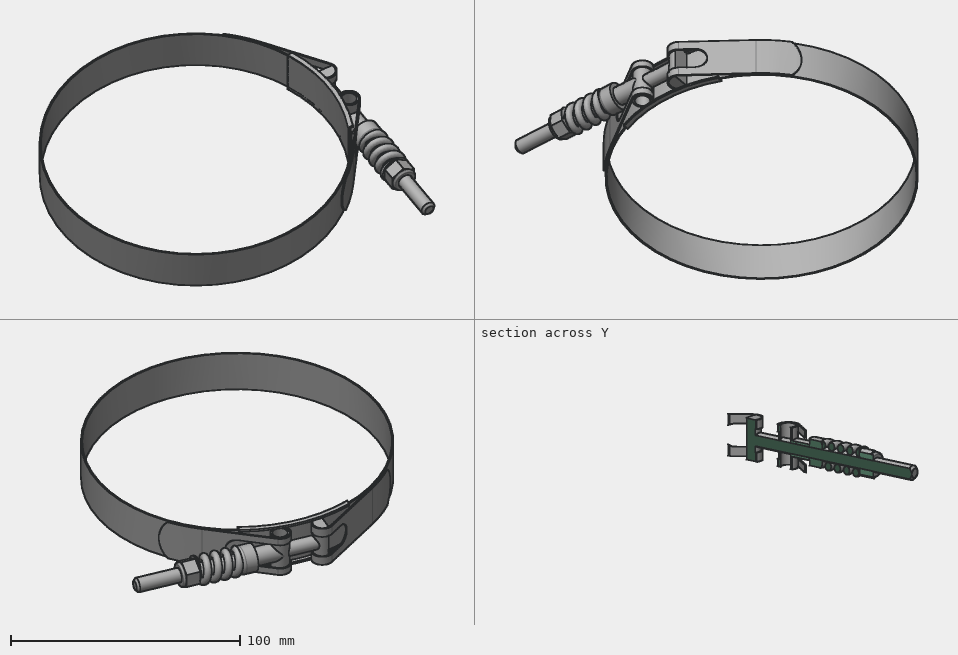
import cadquery as cq
import math

band_radius = 68.2
band_thickness = 0.66
band_width = 19.1
fold_gap = 0.1
fold_end_angle = 52.6
fold_tip_radius = 12.6

trunnion_radius = 4.3
trunnion_x = 10.0
trunnion_flat_offset = 1.3
trunnion_bore_radius = 3.4

head_slot_half_width = 5.3
head_slot_length = 12.6
sleeve_slot_half_width = 6.2
sleeve_slot_length = 23.5
loop_slot_drop = 3.7

bridge_inner_radius = 67.0
bridge_rim_radius = 69.4
bridge_width = 21.2
bridge_half_length = 26.0

bolt_diameter = 6.6
bolt_end_x = 78.8
bolt_chamfer = 1.2

cap_start_x = 23.0
cap_length = 7.0
cap_radius = 6.5
cap_fillet = 1.5

spring_length = 20.1
spring_outer_radius = 6.9
wire_radius = 1.8
spring_pitch = 5.0
spring_crest_x = 31.6

nut_hex_length = 6.5
nut_across_flats = 11.2
nut_collar_length = 1.3
nut_collar_fillet = 0.7

trunnion_distance = band_radius + trunnion_radius
axis_y = math.sqrt(trunnion_distance ** 2 - trunnion_x ** 2)
trunnion_angle = math.degrees(math.asin(trunnion_x / trunnion_distance))
fold_inner_radius = band_radius + fold_gap
strap_rise = fold_inner_radius - trunnion_radius
strap_angle = trunnion_angle + math.degrees(math.acos(strap_rise / trunnion_distance))
strap_length = math.sqrt(trunnion_distance ** 2 - strap_rise ** 2)
bolt_radius = bolt_diameter / 2
cap_end_x = cap_start_x + cap_length
spring_end_x = cap_end_x + spring_length


def polar(radius, angle, center=(0.0, 0.0)):
    """Point at an angle in degrees from +Y, turning toward +X."""
    turn = math.radians(angle)
    return (center[0] + radius * math.sin(turn), center[1] + radius * math.cos(turn))


def curved_strip(inner_radius, thickness, start, end, width, center=(0.0, 0.0)):
    """Strip bent about a Z axis between two angles, centred on Z = 0."""
    outer_radius = inner_radius + thickness
    middle = (start + end) / 2
    return (
        cq.Workplane("XY", origin=(0, 0, -width / 2))
        .moveTo(*polar(inner_radius, start, center))
        .threePointArc(polar(inner_radius, middle, center), polar(inner_radius, end, center))
        .lineTo(*polar(outer_radius, end, center))
        .threePointArc(polar(outer_radius, middle, center), polar(outer_radius, start, center))
        .close()
        .extrude(width)
    )


def bolt_axis_cylinder(radius, start_x, end_x):
    return cq.Workplane("YZ", origin=(start_x, axis_y, 0)).circle(radius).extrude(end_x - start_x)


def trunnion_cylinder(radius, side):
    base = (side * trunnion_x, axis_y, -band_width / 2)
    return cq.Workplane("XY", origin=base).circle(radius).extrude(band_width)


def folded_tip():
    """Folded-back end lying over the +X side of the ring, with a rounded tip."""
    fold = curved_strip(fold_inner_radius, band_thickness, strap_angle, fold_end_angle, band_width)
    tip = polar(fold_inner_radius, fold_end_angle)
    outward = polar(1, fold_end_angle)
    along = polar(1, fold_end_angle + 90)
    tip_plane = cq.Plane(origin=(*tip, 0), xDir=(*along, 0), normal=(*outward, 0))
    reach = 2 * fold_tip_radius
    keep = (
        cq.Workplane(tip_plane)
        .moveTo(-fold_tip_radius, fold_tip_radius)
        .threePointArc((0, 0), (-fold_tip_radius, -fold_tip_radius))
        .lineTo(-2 * reach, -fold_tip_radius)
        .lineTo(-2 * reach, fold_tip_radius)
        .close()
        .extrude(reach, both=True)
    )
    return fold.intersect(keep)


def band_loop(slot_length, slot_half_width):
    """Loop, straight strap and folded-back end on the +X side, slotted for the bolt."""
    center = (trunnion_x, axis_y)
    loop = curved_strip(
        trunnion_radius, band_thickness, trunnion_angle - 180, strap_angle, band_width, center
    )
    strap_start = polar(trunnion_radius, strap_angle, center)
    strap_plane = cq.Plane(
        origin=(*strap_start, 0),
        xDir=(*polar(1, strap_angle + 90), 0),
        normal=(*polar(1, strap_angle), 0),
    )
    strap = (
        cq.Workplane(strap_plane)
        .rect(strap_length, band_width)
        .extrude(band_thickness)
        .translate(strap_plane.xDir * (strap_length / 2))
    )
    slot_straight = slot_length - slot_half_width
    strap_slot = (
        cq.Workplane(strap_plane)
        .moveTo(0, -slot_half_width)
        .lineTo(slot_straight, -slot_half_width)
        .threePointArc((slot_length, 0), (slot_straight, slot_half_width))
        .lineTo(0, slot_half_width)
        .close()
        .extrude(2 * band_thickness, both=True)
    )
    loop_size = 2 * (trunnion_radius + band_thickness)
    loop_slot = (
        cq.Workplane("XY")
        .box(loop_size, loop_size, 2 * slot_half_width, centered=(True, False, True))
        .translate((trunnion_x, axis_y - loop_slot_drop, 0))
    )
    return loop.union(strap).union(folded_tip()).cut(strap_slot).cut(loop_slot)


def make_band():
    ring = curved_strip(
        band_radius - band_thickness, band_thickness, trunnion_angle, 360 - trunnion_angle, band_width
    )
    head_loop = band_loop(head_slot_length, head_slot_half_width).mirror("YZ")
    sleeve_loop = band_loop(sleeve_slot_length, sleeve_slot_half_width)
    return ring.union(head_loop).union(sleeve_loop)


def make_bridge():
    rim_height = bridge_rim_radius - bridge_inner_radius
    span = 2 * math.degrees(math.asin(bridge_half_length / bridge_inner_radius))
    blank = curved_strip(bridge_inner_radius, rim_height, -span / 2, span / 2, bridge_width)
    trim = cq.Workplane("XY").box(2 * bridge_half_length, 4 * band_radius, bridge_width)
    floor_radius = band_radius - band_thickness
    channel = curved_strip(floor_radius, 2 * rim_height, -span, span, band_width)
    return blank.intersect(trim).cut(channel)


def make_t_bolt():
    flat_x = -trunnion_x - trunnion_flat_offset
    half_space = (
        cq.Workplane("XY")
        .box(4 * trunnion_radius, 4 * trunnion_radius, band_width, centered=(False, True, True))
        .translate((flat_x, axis_y, 0))
    )
    head = trunnion_cylinder(trunnion_radius, -1).intersect(half_space)
    shank = bolt_axis_cylinder(bolt_radius, -trunnion_x, bolt_end_x).faces(">X").chamfer(bolt_chamfer)
    return head.union(shank)


def make_tube_trunnion():
    sleeve = bolt_axis_cylinder(trunnion_radius, trunnion_x, cap_start_x)
    return (
        trunnion_cylinder(trunnion_radius, 1)
        .union(sleeve)
        .cut(trunnion_cylinder(trunnion_bore_radius, 1))
        .cut(bolt_axis_cylinder(bolt_radius, 0, cap_start_x))
    )


def make_cap():
    cap = bolt_axis_cylinder(cap_radius, cap_start_x, cap_end_x).faces(">X").edges().fillet(cap_fillet)
    return cap.cut(bolt_axis_cylinder(bolt_radius, cap_start_x, cap_end_x))


def make_spring():
    coil_radius = spring_outer_radius - wire_radius
    start_x = spring_crest_x - spring_pitch
    coil_length = spring_end_x + 2 * wire_radius - start_x
    path = cq.Wire.makeHelix(spring_pitch, coil_length, coil_radius, lefthand=True)
    coil = (
        cq.Workplane("XZ", origin=(coil_radius, 0, 0))
        .circle(wire_radius)
        .sweep(cq.Workplane(path), isFrenet=True)
        .rotate((0, 0, 0), (1, 1, 1), 120)
        .translate((start_x, axis_y, 0))
    )
    return coil.intersect(bolt_axis_cylinder(2 * spring_outer_radius, cap_end_x, spring_end_x))


def make_nut():
    hex_end_x = spring_end_x + nut_hex_length
    collar_end_x = hex_end_x + nut_collar_length
    corner_diameter = nut_across_flats / math.cos(math.pi / 6)
    hexagon = (
        cq.Workplane("YZ", origin=(spring_end_x, axis_y, 0))
        .transformed(rotate=(0, 0, 90))
        .polygon(6, corner_diameter)
        .extrude(nut_hex_length)
    )
    collar = bolt_axis_cylinder(nut_across_flats / 2, hex_end_x, collar_end_x)
    collar = collar.faces(">X").edges().fillet(nut_collar_fillet)
    return hexagon.union(collar).cut(bolt_axis_cylinder(bolt_radius, spring_end_x, collar_end_x))


band = make_band()
bridge = make_bridge()
t_bolt = make_t_bolt()
tube_trunnion = make_tube_trunnion()
cap = make_cap()
spring = make_spring()
nut = make_nut()

result = cq.Compound.makeCompound([
    band.solids().val(),
    bridge.solids().val(),
    t_bolt.solids().val(),
    tube_trunnion.solids().val(),
    cap.solids().val(),
    spring.solids().val(),
    nut.solids().val(),
])